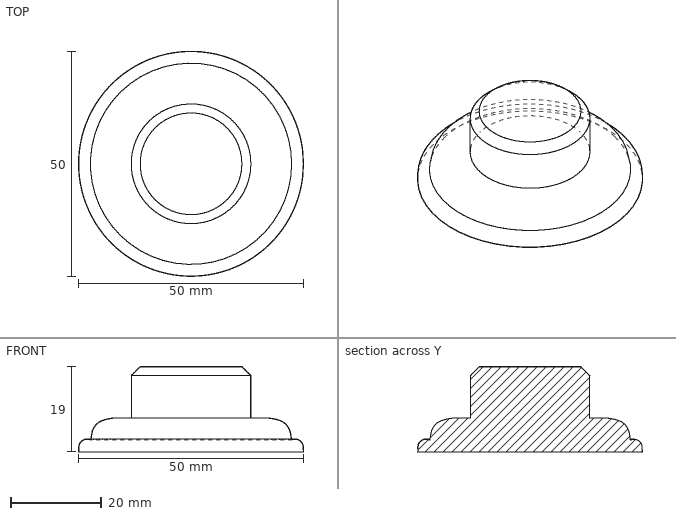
import cadquery as cq

outer_radius = 25.0
total_height = 19.0

knob_radius = 26.6 / 2
knob_chamfer = 2.0

rim_shoulders = [(24.7, 2.0), (23.85, 2.75)]
rim_crown = (23.1, 2.9)
dome_foot = (22.35, 2.7)

dome_shoulders = [(21.8, 5.15), (20.5, 6.65), (17.9, 7.5)]
dome_top = (knob_radius, 7.6)

upward = (0, 1)
inward = (-1, 0)
rim_inner_slope = (-0.9, -0.4)
dome_foot_slope = (-0.1, 1)

result = (
    cq.Workplane("XZ")
    .lineTo(outer_radius, 0)
    .spline(rim_shoulders + [rim_crown, dome_foot], tangents=[upward, rim_inner_slope], includeCurrent=True)
    .spline(dome_shoulders + [dome_top], tangents=[dome_foot_slope, inward], includeCurrent=True)
    .lineTo(knob_radius, total_height - knob_chamfer)
    .lineTo(knob_radius - knob_chamfer, total_height)
    .lineTo(0, total_height)
    .close()
    .revolve(360, (0, 0, 0), (0, 1, 0))
)